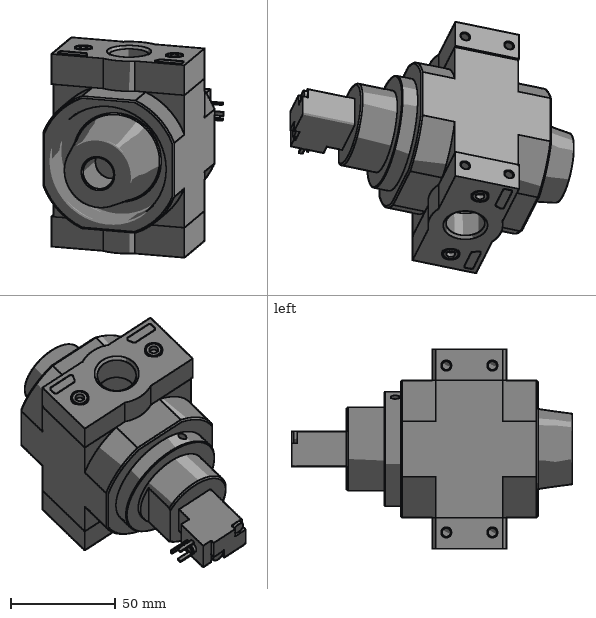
import cadquery as cq
import math


SMALLEST_CIRCLE = cq.selectors.RadiusNthSelector(0)

HOUSING_SIZE = 66.0
HOUSING_HALF = HOUSING_SIZE / 2
BARREL_RADIUS = 35.6
HOUSING_CHAMFER = 0.8
BAND_HALF = 16.0

PLATE_OVERHANG = 1.1
PLATE_THICKNESS = 15.0
PLATE_LEFT = -HOUSING_HALF - PLATE_OVERHANG
PLATE_TOP = HOUSING_HALF + PLATE_THICKNESS
BULGE_RADIUS = 18.0
PORT_DIAMETER = 18.6
PORT_CHAMFER = 1.4
SIDE_HOLE_DIAMETER = 4.2
SIDE_HOLE_CHAMFER = 0.4
SIDE_HOLE_DEPTH = 8.1
SIDE_HOLE_Y = 11.1
SIDE_HOLE_Z = 40.1
DRILL_POINT_ANGLE = 118

LABEL_DEPTH = 0.3
LABEL_EDGE_MARGIN = 2.3
LABEL_INNER_X = 16.5
LABEL_SLANT = 2.0
LABEL_NEAR_Y = -9.0
LABEL_FAR_Y = -13.6
LABEL_CORNER = 1.1

SCREW_X = 23
SCREW_HEAD_DIAMETER = 8.5
SCREW_HEAD_HEIGHT = 5.4
SCREW_HEAD_CHAMFER = 0.7
SCREW_SHANK_DIAMETER = 5.0
SCREW_LENGTH = 21.6
SOCKET_DIAMETER = 4.2
SOCKET_DEPTH = 2.7

RECESS_RADIUS = 28.9
RECESS_MOUTH_FILLET = 1.1
RECESS_FLOOR_Y = -18.6
RECESS_FLOOR_FILLET = 1.1
CONE_END_Y = -49.5
CONE_END_RADIUS = 17.0
CONE_END_FILLET = 0.8
CONE_BASE_RADIUS = 21.5
CONE_FOOT_FILLET = 0.7
CONE_HOLE_RADIUS = 7.7
CONE_HOLE_DEPTH = 20.2
CONE_HOLE_CHAMFER = 0.7

RING_RADIUS = 27.5
RING_END_Y = 40.9
RING_CHAMFER = 0.4
PILOT_RADIUS = 20.1
FLAT_START_Y = 42.7
PILOT_END_Y = 59.1
PILOT_CHAMFER = 0.8
PILOT_FLAT_X = 15.1
SPANNER_HOLE_DIAMETER = 4.2
SPANNER_HOLE_DEPTH = 5.4
SPANNER_HOLE_Y = 35.6
SPANNER_HOLE_ANGLE = 25

COIL_LEFT = -10.3
COIL_RIGHT = 9.7
COIL_HALF_HEIGHT = 8.5
COIL_END_Y = 85.5
COIL_EDGE_FILLET = 1.2
COIL_HEAD_RADIUS = 3.0
COIL_HEAD_X = -6.6
COIL_HEAD_Z = 5.7
COIL_HEAD_END_Y = 84.4
COIL_NOTCH_Y = 82.8
PAD_RIGHT = 14.7
PAD_START_Y = 66.8
PAD_END_Y = 83.5
BOSS_Y = 75.7
BOSS_STEPS = [(5.5, 16.3), (4.0, 17.1)]
BLADE_WIDTH = 2.0
BLADE_THICKNESS = 0.8
POWER_BLADE_END = 23.2
POWER_BLADE_Z = 3.9
EARTH_BLADE_END = 24.8
EARTH_BLADE_Y = 71.8


def box(x_range, y_range, z_range):
    """Box between two limits on each axis."""
    size = [high - low for low, high in (x_range, y_range, z_range)]
    corner = (x_range[0], y_range[0], z_range[0])
    return cq.Workplane("XY").box(*size, centered=False).translate(corner)


def turned(profile):
    """Solid turned about the Y axis from (radius, y) points."""
    return cq.Workplane("XY").polyline(profile).close().revolve(360, (0, 0, 0), (0, 1, 0))


def drilled_hole(diameter, depth, start, direction):
    """Cutter for a round hole with a drill-point bottom."""
    radius = diameter / 2
    point_length = radius / math.tan(math.radians(DRILL_POINT_ANGLE / 2))
    start = cq.Vector(*start)
    direction = cq.Vector(*direction)
    bore = cq.Solid.makeCylinder(radius, depth, start, direction)
    point = cq.Solid.makeCone(radius, 0, point_length, start + direction * depth, direction)
    return cq.Workplane(bore).union(cq.Workplane(point))


def mirrored_below(body):
    """Copy of a body on the opposite, lower side of the housing."""
    return body.mirror("XY")


def make_screw(x):
    """Socket screw whose head ends flush with the upper plate."""
    head_bottom = PLATE_TOP - SCREW_HEAD_HEIGHT
    head = (
        cq.Workplane("XY", origin=(x, 0, head_bottom))
        .circle(SCREW_HEAD_DIAMETER / 2)
        .extrude(SCREW_HEAD_HEIGHT)
        .faces(">Z").chamfer(SCREW_HEAD_CHAMFER)
    )
    shank = (
        cq.Workplane("XY", origin=(x, 0, PLATE_TOP - SCREW_LENGTH))
        .circle(SCREW_SHANK_DIAMETER / 2)
        .extrude(SCREW_LENGTH - SCREW_HEAD_HEIGHT)
    )
    socket = drilled_hole(SOCKET_DIAMETER, SOCKET_DEPTH, (x, 0, PLATE_TOP), (0, 0, -1))
    return head.union(shank).cut(socket)


def screw_space(x):
    """Cutter for the stepped hole of one screw."""
    start = cq.Workplane("XY", origin=(x, 0, PLATE_TOP))
    shank_space = start.circle(SCREW_SHANK_DIAMETER / 2).extrude(-SCREW_LENGTH)
    head_space = start.circle(SCREW_HEAD_DIAMETER / 2).extrude(-SCREW_HEAD_HEIGHT)
    return shank_space.union(head_space)


def label_recess(outer_x, side):
    """Cutter for one slant-ended label field; side is -1 for left, +1 for right."""
    inner_x = side * LABEL_INNER_X
    outline = [
        (outer_x, LABEL_NEAR_Y),
        (inner_x + side * LABEL_SLANT, LABEL_NEAR_Y),
        (inner_x, LABEL_FAR_Y),
        (outer_x, LABEL_FAR_Y),
    ]
    field = cq.Workplane("XY", origin=(0, 0, PLATE_TOP)).polyline(outline).close().extrude(-LABEL_DEPTH)
    return field.edges("|Z").fillet(LABEL_CORNER)


def side_hole(y):
    """Cutter for one blind hole with a chamfered mouth in the left side of a plate."""
    start = (PLATE_LEFT, y, SIDE_HOLE_Z)
    radius = SIDE_HOLE_DIAMETER / 2
    mouth = cq.Solid.makeCone(
        radius + SIDE_HOLE_CHAMFER, radius, SIDE_HOLE_CHAMFER, cq.Vector(*start), cq.Vector(1, 0, 0)
    )
    bore = drilled_hole(SIDE_HOLE_DIAMETER, SIDE_HOLE_DEPTH, start, (1, 0, 0))
    return bore.union(cq.Workplane(mouth))


def make_plate():
    """Upper port plate."""
    plate = box((PLATE_LEFT, HOUSING_HALF), (-BAND_HALF, BAND_HALF), (HOUSING_HALF, PLATE_TOP))
    bulge = cq.Workplane("XY", origin=(0, 0, HOUSING_HALF)).circle(BULGE_RADIUS).extrude(PLATE_THICKNESS)
    port = cq.Workplane("XY", origin=(0, 0, HOUSING_HALF)).circle(PORT_DIAMETER / 2).extrude(PLATE_THICKNESS)
    plate = plate.union(bulge).cut(port)
    plate = plate.faces(">Z").edges("%CIRCLE").edges(SMALLEST_CIRCLE).chamfer(PORT_CHAMFER)
    for x in (-SCREW_X, SCREW_X):
        plate = plate.cut(screw_space(x))
    for y in (-SIDE_HOLE_Y, SIDE_HOLE_Y):
        plate = plate.cut(side_hole(y))
    plate = plate.cut(label_recess(PLATE_LEFT + LABEL_EDGE_MARGIN, -1))
    return plate.cut(label_recess(HOUSING_HALF - LABEL_EDGE_MARGIN, 1))


def front_recess():
    """Cutter for the round front recess with a rounded floor edge."""
    return (
        cq.Workplane("XZ", origin=(0, RECESS_FLOOR_Y, 0))
        .circle(RECESS_RADIUS)
        .extrude(HOUSING_HALF + RECESS_FLOOR_Y)
        .faces(">Y").edges().fillet(RECESS_FLOOR_FILLET)
    )


def make_housing():
    """Square block with rounded ends, crossed by the port and the screw holes."""
    span = (-HOUSING_HALF, HOUSING_HALF)
    barrel = (
        cq.Workplane("XZ", origin=(0, HOUSING_HALF, 0))
        .circle(BARREL_RADIUS)
        .extrude(HOUSING_SIZE)
        .intersect(box(span, span, span))
        .faces("<Y or >Y").chamfer(HOUSING_CHAMFER)
    )
    band = box(span, (-BAND_HALF, BAND_HALF), span)
    port = cq.Workplane("XY").circle(PORT_DIAMETER / 2).extrude(HOUSING_HALF, both=True)
    housing = barrel.union(band).cut(port).cut(front_recess())
    housing = housing.faces("<Y").edges("%CIRCLE").edges(SMALLEST_CIRCLE).fillet(RECESS_MOUTH_FILLET)
    for x in (-SCREW_X, SCREW_X):
        space = screw_space(x)
        housing = housing.cut(space).cut(mirrored_below(space))
    return housing


def make_cone():
    """Cone with a flared foot on the recess floor and a blind hole in its end."""
    outside = (
        cq.Workplane("XY")
        .moveTo(0, RECESS_FLOOR_Y)
        .lineTo(CONE_BASE_RADIUS + CONE_FOOT_FILLET, RECESS_FLOOR_Y)
        .radiusArc((CONE_BASE_RADIUS, RECESS_FLOOR_Y - CONE_FOOT_FILLET), CONE_FOOT_FILLET)
        .lineTo(CONE_END_RADIUS, CONE_END_Y)
        .lineTo(0, CONE_END_Y)
        .close()
        .revolve(360, (0, 0, 0), (0, 1, 0))
        .faces("<Y").edges().fillet(CONE_END_FILLET)
    )
    hole = cq.Workplane("XZ", origin=(0, CONE_END_Y, 0)).circle(CONE_HOLE_RADIUS).extrude(-CONE_HOLE_DEPTH)
    return outside.cut(hole).faces("<Y").edges(SMALLEST_CIRCLE).chamfer(CONE_HOLE_CHAMFER)


def make_pilot():
    """Ring and flatted cylinder behind the housing."""
    foot = turned([
        (0, HOUSING_HALF),
        (RING_RADIUS, HOUSING_HALF),
        (RING_RADIUS, RING_END_Y - RING_CHAMFER),
        (RING_RADIUS - RING_CHAMFER, RING_END_Y),
        (PILOT_RADIUS, RING_END_Y),
        (PILOT_RADIUS, FLAT_START_Y),
        (0, FLAT_START_Y),
    ])
    keep = box((-PILOT_RADIUS, PILOT_FLAT_X), (FLAT_START_Y, PILOT_END_Y), (-PILOT_RADIUS, PILOT_RADIUS))
    cylinder = (
        cq.Workplane("XZ", origin=(0, PILOT_END_Y, 0))
        .circle(PILOT_RADIUS)
        .extrude(PILOT_END_Y - FLAT_START_Y)
        .faces(">Y").chamfer(PILOT_CHAMFER)
        .intersect(keep)
    )
    angle = math.radians(SPANNER_HOLE_ANGLE)
    outward = cq.Vector(-math.sin(angle), 0, math.cos(angle))
    bottom = outward * (RING_RADIUS - SPANNER_HOLE_DEPTH) + cq.Vector(0, SPANNER_HOLE_Y, 0)
    spanner_hole = (
        cq.Workplane(cq.Plane(origin=bottom, normal=outward))
        .circle(SPANNER_HOLE_DIAMETER / 2)
        .extrude(2 * SPANNER_HOLE_DEPTH)
    )
    return foot.union(cylinder).cut(spanner_hole)


def notch_coil_corner(coil):
    """Coil with its upper left end corner notched around a round screw head."""
    notch_right = COIL_HEAD_X + COIL_HEAD_RADIUS
    notch_bottom = COIL_HEAD_Z - COIL_HEAD_RADIUS
    notch = box((COIL_LEFT, notch_right), (COIL_NOTCH_Y, COIL_END_Y), (notch_bottom, COIL_HALF_HEIGHT))
    head = (
        cq.Workplane("XZ", origin=(COIL_HEAD_X, COIL_NOTCH_Y, COIL_HEAD_Z))
        .circle(COIL_HEAD_RADIUS)
        .extrude(COIL_NOTCH_Y - COIL_HEAD_END_Y)
    )
    return coil.cut(notch).union(head)


def connector_pieces():
    """Stepped boss, two power blades and one earth blade, all standing on the pad."""
    steps = [
        cq.Workplane("YZ", origin=(PAD_RIGHT, BOSS_Y, 0)).circle(diameter / 2).extrude(end_x - PAD_RIGHT)
        for diameter, end_x in BOSS_STEPS
    ]
    half_width = BLADE_WIDTH / 2
    half_thickness = BLADE_THICKNESS / 2
    power_blades = [
        box(
            (PAD_RIGHT, POWER_BLADE_END),
            (BOSS_Y - half_width, BOSS_Y + half_width),
            (z - half_thickness, z + half_thickness),
        )
        for z in (-POWER_BLADE_Z, POWER_BLADE_Z)
    ]
    earth_blade = box(
        (PAD_RIGHT, EARTH_BLADE_END),
        (EARTH_BLADE_Y - half_thickness, EARTH_BLADE_Y + half_thickness),
        (-half_width, half_width),
    )
    return [*steps, *power_blades, earth_blade]


def make_solenoid():
    """Coil block with screw heads in two opposite end corners, and its connector."""
    height = (-COIL_HALF_HEIGHT, COIL_HALF_HEIGHT)
    coil = box((COIL_LEFT, COIL_RIGHT), (PILOT_END_Y, COIL_END_Y), height)
    coil = coil.faces("<X").edges("|Y").fillet(COIL_EDGE_FILLET)
    pad = box((COIL_RIGHT, PAD_RIGHT), (PAD_START_Y, PAD_END_Y), height)
    middle_x = (COIL_LEFT + COIL_RIGHT) / 2
    solenoid = coil.union(pad)
    for _ in range(2):
        solenoid = notch_coil_corner(solenoid).rotate((middle_x, 0, 0), (middle_x, 1, 0), 180)
    for piece in connector_pieces():
        solenoid = solenoid.union(piece)
    return solenoid


housing = make_housing()
cone = make_cone()
pilot = make_pilot()
solenoid = make_solenoid()

plates = cq.Workplane("XY")
screws = cq.Workplane("XY")
upper_plate = make_plate()
plates = plates.add(upper_plate).add(mirrored_below(upper_plate))
for x in (-SCREW_X, SCREW_X):
    upper_screw = make_screw(x)
    screws = screws.add(upper_screw).add(mirrored_below(upper_screw))

result = cq.Compound.makeCompound([
    housing.val(),
    *plates.vals(),
    *screws.vals(),
    cone.val(),
    pilot.val(),
    solenoid.val(),
])